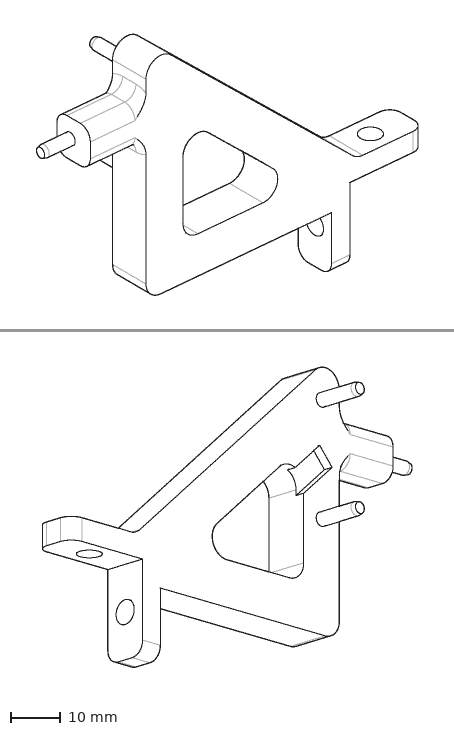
import cadquery as cq
import math

plate_thickness = 10.0
wall_width = 10.0
corner_radius = 4.0
top_z = 56.23
slope_angle = math.radians(42.0)

tab_thickness = 5.0
tab_corner_radius = 3.0
tab_hole_diameter = 5.2
tab_hole_inset = 10.0
rear_tab_top_z = 10.0
rear_tab_end_y = 75.0
lower_tab_rear_y = 55.0
lower_tab_end_z = -15.0

boss_size = 10.0
boss_length = 15.0
boss_corner_radius = 3.0
boss_root_radius = 3.0
boss_center_z = 41.7

pocket_width = 5.2
pocket_depth = 2.2
pocket_length = 12.0
pocket_end_y = 3.8
pocket_end_z = 37.65

pin_diameter = 3.0
pin_embedded = 5.0
pin_taper_length = 1.0
pin_taper_angle = math.radians(15.0)
pin_dome_height = 0.33
side_pin_straight = 10.0
boss_pin_straight = 7.0
side_pin_count = 2
side_pin_y = 5.0
side_pin_spacing = 25.0
lower_side_pin_z = 24.2
boss_pin_x = 4.0

plate_mid_x = plate_thickness / 2

slope_distance = (
    corner_radius * math.sin(slope_angle)
    + (top_z - corner_radius) * math.cos(slope_angle)
    + corner_radius
)


def slope_y(z, inset=0.0):
    """Y of the sloped edge, moved inward by inset, at height z."""
    return (slope_distance - inset - z * math.cos(slope_angle)) / math.sin(slope_angle)


def slope_z(y, inset=0.0):
    """Z of the sloped edge, moved inward by inset, at position y."""
    return (slope_distance - inset - y * math.sin(slope_angle)) / math.cos(slope_angle)


def round_edge(body, y, z, radius):
    """Fillet the edge along X that passes through (y, z)."""
    nearest = cq.selectors.NearestToPointSelector((plate_mid_x, y, z))
    return body.edges("|X").edges(nearest).fillet(radius)


def make_plate():
    lower_tab_front_y = lower_tab_rear_y - tab_thickness
    rear_tab_bottom_z = rear_tab_top_z - tab_thickness
    apex = (0, slope_z(0))
    slope_foot = (slope_y(rear_tab_top_z), rear_tab_top_z)
    front_corner = (0, 0)
    outline = [
        front_corner,
        apex,
        slope_foot,
        (rear_tab_end_y, rear_tab_top_z),
        (rear_tab_end_y, rear_tab_bottom_z),
        (lower_tab_rear_y, rear_tab_bottom_z),
        (lower_tab_rear_y, lower_tab_end_z),
        (lower_tab_front_y, lower_tab_end_z),
        (lower_tab_front_y, 0),
    ]
    plate = cq.Workplane("YZ").polyline(outline).close().extrude(plate_thickness)
    for y, z in (front_corner, apex, slope_foot):
        plate = round_edge(plate, y, z, corner_radius)
    plate = plate.faces(">Y").edges("|Z").fillet(tab_corner_radius)
    return plate.faces("<Z").edges("|Y").fillet(tab_corner_radius)


def make_window():
    """Triangular opening that leaves a wall of equal width on all three sides."""
    corners = [
        (wall_width, wall_width),
        (wall_width, slope_z(wall_width, wall_width)),
        (slope_y(wall_width, wall_width), wall_width),
    ]
    window = cq.Workplane("YZ").polyline(corners).close().extrude(plate_thickness)
    return window.edges("|X").fillet(corner_radius)


def make_tab_holes():
    hole_radius = tab_hole_diameter / 2
    rear_hole = cq.Solid.makeCylinder(
        hole_radius,
        tab_thickness,
        cq.Vector(plate_mid_x, rear_tab_end_y - tab_hole_inset, rear_tab_top_z),
        cq.Vector(0, 0, -1),
    )
    lower_hole = cq.Solid.makeCylinder(
        hole_radius,
        tab_thickness,
        cq.Vector(plate_mid_x, lower_tab_rear_y, lower_tab_end_z + tab_hole_inset),
        cq.Vector(0, -1, 0),
    )
    return cq.Workplane(rear_hole).add(lower_hole)


def make_boss():
    """Rounded boss with a filleted root, trimmed flush with the plate's side faces."""
    root_span = boss_size + 4 * boss_root_radius
    root_block = cq.Workplane("XY").box(root_span, wall_width, root_span, centered=(True, False, True))
    post = (
        cq.Workplane("XZ")
        .rect(boss_size, boss_size)
        .extrude(boss_length)
        .edges("|Y")
        .fillet(boss_corner_radius)
    )
    root_edges = cq.selectors.BoxSelector(
        (-boss_size, -boss_root_radius / 2, -boss_size),
        (boss_size, boss_root_radius / 2, boss_size),
    )
    flared = root_block.union(post).edges(root_edges).fillet(boss_root_radius)
    trim = cq.Workplane("XZ").rect(plate_thickness, root_span).extrude(boss_length)
    return flared.intersect(trim).translate((plate_mid_x, 0, boss_center_z))


def make_pocket():
    pocket = cq.Workplane("XY").box(
        pocket_depth, pocket_length, pocket_width, centered=(False, False, True)
    )
    pocket = pocket.rotate((0, 0, 0), (1, 0, 0), -math.degrees(slope_angle))
    return pocket.translate((0, pocket_end_y, pocket_end_z))


def make_pin(straight_length):
    """Dowel pin along +Z, flat at the embedded end, with a tapered and domed tip.

    Z = 0 is the surface that the pin comes out of.
    """
    radius = pin_diameter / 2
    tip_radius = radius - pin_taper_length * math.tan(pin_taper_angle)
    dome_base_z = straight_length + pin_taper_length
    dome_top_z = dome_base_z + pin_dome_height
    dome_radius = (tip_radius**2 + pin_dome_height**2) / (2 * pin_dome_height)
    dome_mid_x = tip_radius / 2
    dome_mid_z = dome_top_z - dome_radius + math.sqrt(dome_radius**2 - dome_mid_x**2)
    return (
        cq.Workplane("XZ")
        .moveTo(0, -pin_embedded)
        .lineTo(radius, -pin_embedded)
        .lineTo(radius, straight_length)
        .lineTo(tip_radius, dome_base_z)
        .threePointArc((dome_mid_x, dome_mid_z), (0, dome_top_z))
        .close()
        .revolve(360, (0, 0, 0), (0, 1, 0))
    )


def make_side_pin(index):
    """Pin standing out of the plate's left face."""
    pin = make_pin(side_pin_straight).rotate((0, 0, 0), (0, 1, 0), -90)
    return pin.translate((0, side_pin_y, lower_side_pin_z + index * side_pin_spacing))


def make_boss_pin():
    """Pin standing out of the boss's front face."""
    pin = make_pin(boss_pin_straight).rotate((0, 0, 0), (1, 0, 0), 90)
    return pin.translate((boss_pin_x, -boss_length, boss_center_z))


side_pins = [make_side_pin(index) for index in range(side_pin_count)]
boss_pin = make_boss_pin()

bracket = make_plate().union(make_boss()).cut(make_window()).cut(make_pocket())
for hole in make_tab_holes().vals():
    bracket = bracket.cut(cq.Workplane(hole))
for pin in [*side_pins, boss_pin]:
    bracket = bracket.cut(pin)

result = cq.Compound.makeCompound(
    [bracket.solids().val(), *[pin.val() for pin in side_pins], boss_pin.val()]
)